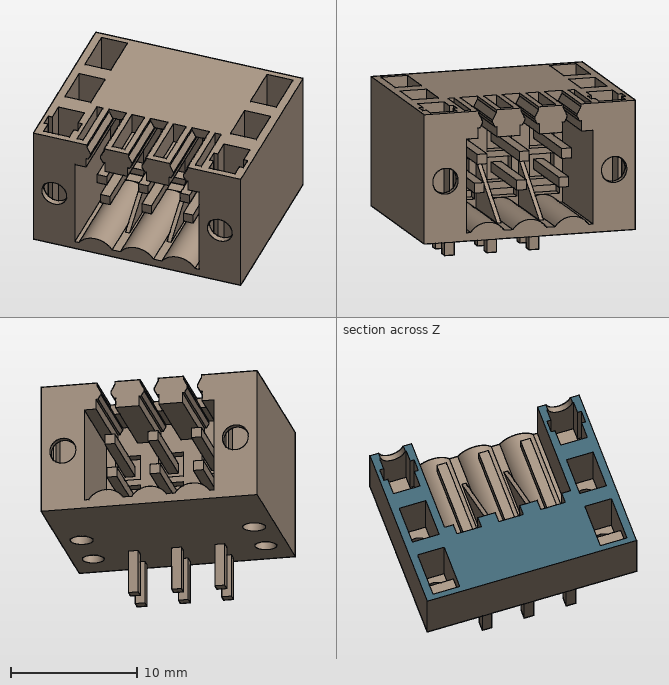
import cadquery as cq

WIDTH = 17.5
DEPTH = 14.2
HEIGHT = 10.5
PITCH = 3.5
COLUMNS = [-PITCH, 0.0, PITCH]
SIDES = (-1, 1)
CUT_MARGIN = 0.18

CAVITY_WIDTH = 10.48
CAVITY_DEPTH = 8.14
CAVITY_FLOOR = 0.68
CAVITY_CEILING = 8.3

CHANNEL_WIDTH = 1.6
CHANNEL_TOP = 9.12
NECK_BASE_WIDTH = 1.26
NECK_WIDTH = 0.82
NECK_FLARE_Z = 9.5
NECK_Z = 9.68
GROOVE_WIDTH = 1.45
GROOVE_FLARE_TOP = 10.27
GROOVE_DEPTH = 5.04

RIDGE_WIDTH = 2.8
RIDGE_TOP = 1.42

GUSSET_THICKNESS = 0.35
GUSSET_TOP = 4.53
GUSSET_FRONT = 2.55

ROW_PITCH = 2.5
LOWER_ROW_Z = 3.73
SOCKET_SIDE = 2.01
RECESS_DEPTH = 0.88
KEY_RECESS_WIDTH = 2.92
KEY_RECESS_BOTTOM = 1.42
KEY_RECESS_TOP = 2.15

PIN_SIDE = 0.8
PIN_TIP_Y = [2.22, 1.47]
ROWS = range(len(PIN_TIP_Y))
FRONT_LEG_Y = 10.55
LEG_LENGTH = 3.5

SLOT_FRONT = 0.52
SLOT_BACK = 5.0
SLOT_DEPTH = 1.75
OUTER_SLOT_WIDTH = 0.5
INNER_SLOT_WIDTH = 1.07

FLANGE_X = 6.98
POCKET_WIDTH = 2.19
POCKET_FLOOR = 0.68
CLIP_POCKET = (0.52, 3.9)
CLIP_EAR = (1.52, 2.5)
CLIP_EAR_WIDTH = 2.84
MIDDLE_POCKET = (5.37, 8.61)
MIDDLE_HOLE_Y = 7.0
MIDDLE_HOLE_DIAMETER = 1.82
REAR_POCKET = (9.9, 13.68)
REAR_STEP_Y = 12.2
REAR_STEP_Z = 3.5
REAR_HOLE_Y = 11.29
REAR_HOLE_DIAMETER = 1.73
FRONT_HOLE_Z = 4.99
FRONT_HOLE_DIAMETER = 2.1


def block(x_center, width, y_range, z_range):
    """Box centred on x_center, spanning the given Y and Z ranges."""
    y0, y1 = y_range
    z0, z1 = z_range
    return cq.Workplane("XY").box(width, y1 - y0, z1 - z0, centered=(True, False, False)).translate(
        (x_center, y0, z0)
    )


def extrude_back(outline, x_center, y_start, y_end):
    """Extrude an XZ outline from y_start to y_end and move it to x_center."""
    return outline.extrude(y_start - y_end).translate((x_center, y_start, 0))


def row_height(row):
    """Height of a contact row; row 0 is the lower one."""
    return LOWER_ROW_Z + row * ROW_PITCH


def neck(x):
    """Short straight throat that flares down to the channel."""
    base = NECK_BASE_WIDTH / 2
    throat = NECK_WIDTH / 2
    outline = (
        cq.Workplane("XZ")
        .moveTo(-base, CHANNEL_TOP)
        .lineTo(base, CHANNEL_TOP)
        .lineTo(throat, NECK_FLARE_Z)
        .lineTo(throat, NECK_Z)
        .lineTo(-throat, NECK_Z)
        .lineTo(-throat, NECK_FLARE_Z)
        .close()
    )
    return extrude_back(outline, x, 0, CAVITY_DEPTH)


def groove(x):
    """Groove flaring up from the throat to the top face."""
    throat = NECK_WIDTH / 2
    half = GROOVE_WIDTH / 2
    top = HEIGHT + CUT_MARGIN
    outline = (
        cq.Workplane("XZ")
        .moveTo(-throat, NECK_Z)
        .lineTo(throat, NECK_Z)
        .lineTo(half, GROOVE_FLARE_TOP)
        .lineTo(half, top)
        .lineTo(-half, top)
        .lineTo(-half, GROOVE_FLARE_TOP)
        .close()
    )
    return extrude_back(outline, x, 0, GROOVE_DEPTH)


def ridge(x):
    """Rounded floor ridge with a circular-arc top."""
    half = RIDGE_WIDTH / 2
    outline = (
        cq.Workplane("XZ")
        .moveTo(-half, CAVITY_FLOOR)
        .threePointArc((0, RIDGE_TOP), (half, CAVITY_FLOOR))
        .close()
    )
    return extrude_back(outline, x, 0, CAVITY_DEPTH)


def gusset(x):
    """Triangular rib sloping down from the back wall to the cavity floor."""
    return (
        cq.Workplane("YZ")
        .moveTo(GUSSET_FRONT, CAVITY_FLOOR)
        .lineTo(CAVITY_DEPTH, CAVITY_FLOOR)
        .lineTo(CAVITY_DEPTH, GUSSET_TOP)
        .close()
        .extrude(GUSSET_THICKNESS / 2, both=True)
        .translate((x, 0, 0))
    )


def bent_pin(x, row):
    """Pin running back from the cavity and down through the underside."""
    half = PIN_SIDE / 2
    z = row_height(row)
    leg_y = FRONT_LEG_Y + row * ROW_PITCH
    contact = block(x, PIN_SIDE, (PIN_TIP_Y[row], leg_y + half), (z - half, z + half))
    leg = block(x, PIN_SIDE, (leg_y - half, leg_y + half), (-LEG_LENGTH, z + half))
    return contact.union(leg)


def flange_cut(x):
    """Pockets and holes of one side flange."""
    pocket_z = (POCKET_FLOOR, HEIGHT + CUT_MARGIN)
    cut = block(x, POCKET_WIDTH, CLIP_POCKET, pocket_z)
    cut = cut.union(block(x, CLIP_EAR_WIDTH, CLIP_EAR, pocket_z))
    cut = cut.union(block(x, POCKET_WIDTH, MIDDLE_POCKET, pocket_z))
    cut = cut.union(block(x, POCKET_WIDTH, (REAR_POCKET[0], REAR_STEP_Y), pocket_z))
    cut = cut.union(
        block(x, POCKET_WIDTH, (REAR_STEP_Y, REAR_POCKET[1]), (REAR_STEP_Z, HEIGHT + CUT_MARGIN))
    )
    for y, diameter in [(MIDDLE_HOLE_Y, MIDDLE_HOLE_DIAMETER), (REAR_HOLE_Y, REAR_HOLE_DIAMETER)]:
        hole = cq.Workplane("XY").center(x, y).circle(diameter / 2).extrude(HEIGHT)
        cut = cut.union(hole)
    front_hole = cq.Workplane("XZ").center(x, FRONT_HOLE_Z).circle(FRONT_HOLE_DIAMETER / 2)
    return cut.union(front_hole.extrude(-CLIP_POCKET[1]))


housing = block(0, WIDTH, (0, DEPTH), (0, HEIGHT))
housing = housing.cut(block(0, CAVITY_WIDTH, (0, CAVITY_DEPTH), (CAVITY_FLOOR, CAVITY_CEILING)))

recess_y = (CAVITY_DEPTH, CAVITY_DEPTH + RECESS_DEPTH)
for x in COLUMNS:
    housing = housing.cut(block(x, CHANNEL_WIDTH, (0, CAVITY_DEPTH), (CAVITY_CEILING, CHANNEL_TOP)))
    housing = housing.cut(neck(x)).cut(groove(x))
    housing = housing.cut(block(x, KEY_RECESS_WIDTH, recess_y, (KEY_RECESS_BOTTOM, KEY_RECESS_TOP)))
    for row in ROWS:
        z = row_height(row)
        socket_z = (z - SOCKET_SIDE / 2, z + SOCKET_SIDE / 2)
        housing = housing.cut(block(x, SOCKET_SIDE, recess_y, socket_z))

slot_y = (SLOT_FRONT, SLOT_BACK)
slot_z = (HEIGHT - SLOT_DEPTH, HEIGHT)
outer_slot_x = (CAVITY_WIDTH - OUTER_SLOT_WIDTH) / 2
for side in SIDES:
    housing = housing.cut(block(side * PITCH / 2, INNER_SLOT_WIDTH, slot_y, slot_z))
    housing = housing.cut(block(side * outer_slot_x, OUTER_SLOT_WIDTH, slot_y, slot_z))
    housing = housing.cut(flange_cut(side * FLANGE_X))

for side in SIDES:
    housing = housing.union(gusset(side * PITCH / 2))
for x in COLUMNS:
    housing = housing.union(ridge(x))
    for row in ROWS:
        housing = housing.union(bent_pin(x, row))

result = housing